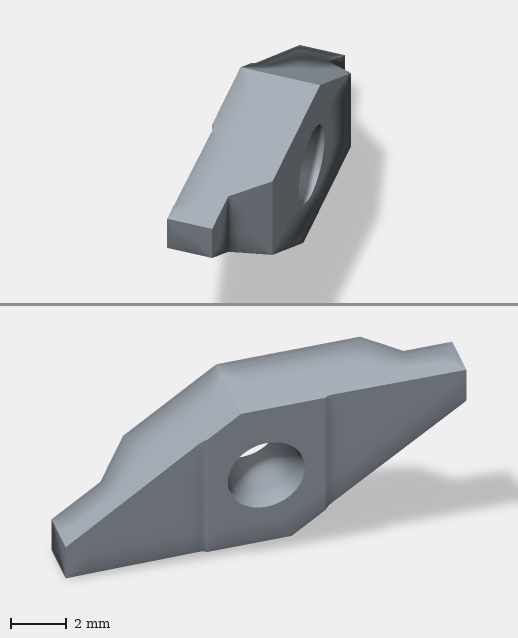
import cadquery as cq
import math

thickness = 3.0
length = 15.0
height = 6.0

slant_angle = 35.0
slant_edge_spacing = 6.0

wing_length = 1.82
wing_back_x = 0.25
shoulder_angle = 45.0

pad_half_length = 2.2
wing_root_depth = 0.1
wing_tip_depth = 0.05
pad_edge_radius = 0.5

hole_diameter = 2.9

half_thickness = thickness / 2
half_length = length / 2
half_height = height / 2


def side_outline():
    """Six-sided plate outline in the YZ plane, extruded through the thickness."""
    slope = math.tan(math.radians(slant_angle))
    crossing_z = slant_edge_spacing / 2 / math.cos(math.radians(slant_angle))
    slant_end_y = (crossing_z - half_height) / slope
    tip_z = slope * half_length - crossing_z
    points = [
        (-half_length, half_height),
        (slant_end_y, half_height),
        (half_length, -tip_z),
        (half_length, -half_height),
        (-slant_end_y, -half_height),
        (-half_length, tip_z),
    ]
    return cq.Workplane("YZ").polyline(points).close().extrude(half_thickness, both=True)


def plan_outline():
    """Stepped outline in the XY plane, mirror-symmetric about the X axis."""
    pad_x = -half_thickness
    root_x = pad_x + wing_root_depth
    tip_x = pad_x + wing_tip_depth

    pad_edge_length = math.sqrt(pad_edge_radius**2 - (pad_edge_radius - wing_root_depth) ** 2)
    root_y = pad_half_length + pad_edge_length

    shoulder_start_y = half_length - wing_length
    shoulder_length = (half_thickness - wing_back_x) / math.tan(math.radians(shoulder_angle))
    shoulder_end_y = shoulder_start_y - shoulder_length

    outline = (
        cq.Workplane("XY", origin=(0, 0, -half_height))
        .moveTo(pad_x, -pad_half_length)
        .lineTo(pad_x, pad_half_length)
        .radiusArc((root_x, root_y), -pad_edge_radius)
        .lineTo(tip_x, half_length)
        .lineTo(wing_back_x, half_length)
        .lineTo(wing_back_x, shoulder_start_y)
        .lineTo(half_thickness, shoulder_end_y)
        .lineTo(half_thickness, -shoulder_end_y)
        .lineTo(wing_back_x, -shoulder_start_y)
        .lineTo(wing_back_x, -half_length)
        .lineTo(tip_x, -half_length)
        .lineTo(root_x, -root_y)
        .radiusArc((pad_x, -pad_half_length), -pad_edge_radius)
        .close()
    )
    return outline.extrude(height)


def screw_hole():
    """Cylinder along X through the middle of the part."""
    start = cq.Workplane("YZ", origin=(-half_thickness, 0, 0))
    return start.circle(hole_diameter / 2).extrude(thickness)


result = side_outline().intersect(plan_outline()).cut(screw_hole())